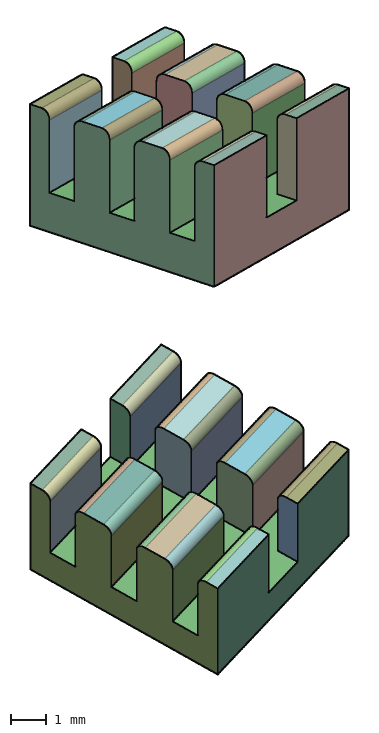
import cadquery as cq

length_x = 6.45
length_y = 6.2
height = 3.76

base_height = 1.22
fin_height = height - base_height
fin_round = 0.285

slot_count = 3
slot_width = 0.865
slot_pitch = 2.11

cross_slot_width = 1.37

slot_centers = [(i - (slot_count - 1) / 2) * slot_pitch for i in range(slot_count)]


def make_block():
    return cq.Workplane("XY").box(length_x, length_y, height, centered=(True, True, False))


def make_slot(center_x):
    """Slot along Y whose mouth flares out to round the fin tops beside it."""
    half_width = slot_width / 2
    round_start = height - fin_round
    return (
        cq.Workplane("XZ")
        .moveTo(center_x - half_width, base_height)
        .lineTo(center_x + half_width, base_height)
        .lineTo(center_x + half_width, round_start)
        .radiusArc((center_x + half_width + fin_round, height), fin_round)
        .lineTo(center_x - half_width - fin_round, height)
        .radiusArc((center_x - half_width, round_start), fin_round)
        .close()
        .extrude(length_y / 2, both=True)
    )


def make_cross_slot():
    return (
        cq.Workplane("XY")
        .workplane(offset=base_height)
        .rect(length_x, cross_slot_width)
        .extrude(fin_height)
    )


result = make_block()
for slot_center in slot_centers:
    result = result.cut(make_slot(slot_center))
result = result.cut(make_cross_slot())